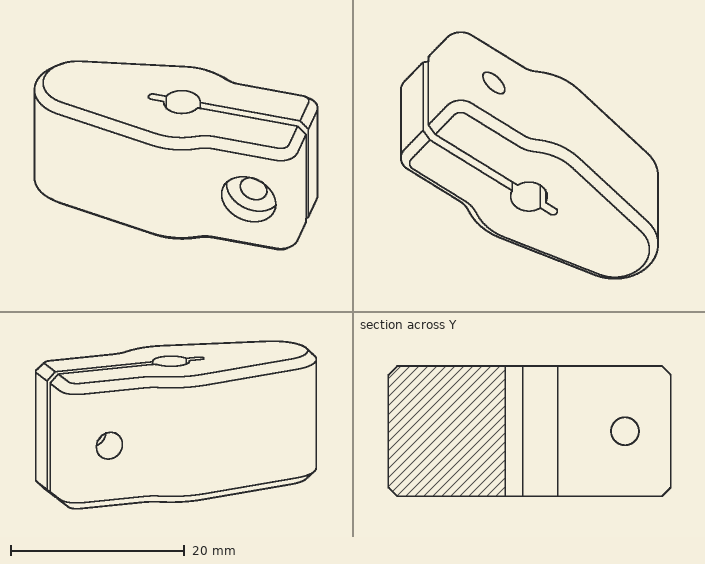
import cadquery as cq
import math

length = 32.5
height = 15.0
hub_radius = height / 2
nose_radius = 5.0
clamp_half_width = 6.0
neck_radius = 3.0
corner_radius = 2.0
edge_chamfer = 1.0

bore_diameter = 4.2
slit_width = 1.0
slit_reach = 4.0

screw_x = 9.75
screw_hole_diameter = 3.2
screw_head_diameter = 6.5
screw_head_depth = 2.0

clamp_end_x = 15.0
nose_tip_x = clamp_end_x - length
nose_center_x = nose_tip_x + nose_radius


def make_body():
    """Extrude the outline of tangent arcs and lines and chamfer both rims."""
    flank_sin = (hub_radius - nose_radius) / -nose_center_x
    flank_cos = math.sqrt(1 - flank_sin**2)
    nose_tangent = (nose_center_x - nose_radius * flank_sin, nose_radius * flank_cos)
    hub_tangent = (-hub_radius * flank_sin, hub_radius * flank_cos)

    neck_center_y = clamp_half_width + neck_radius
    center_distance = hub_radius + neck_radius
    neck_center_x = math.sqrt(center_distance**2 - neck_center_y**2)
    hub_share = hub_radius / center_distance
    neck_start = (neck_center_x * hub_share, neck_center_y * hub_share)
    neck_end = (neck_center_x, clamp_half_width)

    start_angle = math.atan2(-neck_center_y, -neck_center_x)
    middle_angle = (start_angle - math.pi / 2) / 2
    neck_middle = (
        neck_center_x + neck_radius * math.cos(middle_angle),
        neck_center_y + neck_radius * math.sin(middle_angle),
    )

    def mirrored(point):
        return (point[0], -point[1])

    outline = (
        cq.Workplane("XY", origin=(0, 0, -height / 2))
        .moveTo(*mirrored(nose_tangent))
        .threePointArc((nose_tip_x, 0), nose_tangent)
        .lineTo(*hub_tangent)
        .threePointArc((0, hub_radius), neck_start)
        .threePointArc(neck_middle, neck_end)
        .lineTo(clamp_end_x, clamp_half_width)
        .lineTo(clamp_end_x, -clamp_half_width)
        .lineTo(*mirrored(neck_end))
        .threePointArc(mirrored(neck_middle), mirrored(neck_start))
        .threePointArc((0, -hub_radius), mirrored(hub_tangent))
        .close()
    )
    body = outline.extrude(height)
    body = body.edges("|Z and >X").fillet(corner_radius)
    return body.faces("<Z or >Z").edges().chamfer(edge_chamfer)


def make_bore_and_slit():
    """Through bore with a slit that is round at its closed end and open at the clamp end."""
    bottom = cq.Workplane("XY", origin=(0, 0, -height / 2))
    bore = bottom.circle(bore_diameter / 2).extrude(height)
    slit_end_center_x = slit_width / 2 - slit_reach
    slit_end = bottom.center(slit_end_center_x, 0).circle(slit_width / 2).extrude(height)
    slit_length = clamp_end_x - slit_end_center_x
    slit = (
        bottom.center(slit_end_center_x + slit_length / 2, 0)
        .rect(slit_length, slit_width)
        .extrude(height)
    )
    return bore.union(slit_end).union(slit)


def make_screw_hole():
    """Hole across the slit with a counterbore for the head on the -Y side."""
    side = cq.Workplane("XZ", origin=(screw_x, -clamp_half_width, 0))
    hole = side.circle(screw_hole_diameter / 2).extrude(-2 * clamp_half_width)
    head = side.circle(screw_head_diameter / 2).extrude(-screw_head_depth)
    return hole.union(head)


result = make_body().cut(make_bore_and_slit()).cut(make_screw_hole())